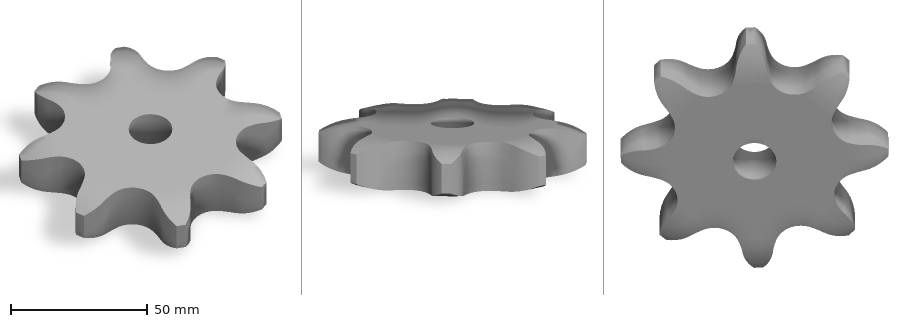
import cadquery as cq
import math

teeth = 8
pitch = 31.7
roller = 19.0
size = 91.9
thickness = 18.5
bore_diameter = 16.0
face_radius = 34.3
rounding_radius = pitch
rim_margin = 0.9

tooth_angle = 360 / teeth
pitch_radius = pitch / 2 / math.sin(math.pi / teeth)

seating_radius = 0.5025 * roller
working_offset = 0.8 * roller
working_radius = seating_radius + working_offset
seating_angle = math.radians(35 + 60 / teeth)
working_angle = math.radians(18 - 56 / teeth)
topping_angle = math.radians(17 - 64 / teeth)
flat_length = roller * (1.4 * math.sin(topping_angle) - 0.8 * math.sin(working_angle))
topping_radius = roller * (0.8 * math.cos(working_angle) + 1.4 * math.cos(topping_angle) - 1.3025)


def along(start, distance, angle):
    """Point at a distance from start, in the direction of angle (radians from +X)."""
    return (start[0] + distance * math.cos(angle), start[1] + distance * math.sin(angle))


def turn(point, degrees):
    """Point turned about the sprocket axis."""
    angle = math.atan2(point[1], point[0]) + math.radians(degrees)
    return along((0, 0), math.hypot(*point), angle)


def mirror(point):
    return (point[0], -point[1])


seat_centre = (pitch_radius, 0)
seat_direction = math.pi / 2 + seating_angle
flat_direction = seat_direction - working_angle
gap_bottom = (pitch_radius - seating_radius, 0)
seat_end = along(seat_centre, seating_radius, seat_direction)
working_centre = along(seat_centre, -working_offset, seat_direction)
working_middle = along(working_centre, working_radius, seat_direction - working_angle / 2)
working_end = along(working_centre, working_radius, flat_direction)
flat_end = along(working_end, flat_length, flat_direction - math.pi / 2)
topping_centre = along(flat_end, topping_radius, flat_direction)
corner_reach = size / 2 - topping_centre[0]
corner = (size / 2, topping_centre[1] - math.sqrt(topping_radius**2 - corner_reach**2))
corner_direction = math.atan2(corner[1] - topping_centre[1], corner_reach) % (2 * math.pi)
topping_start = flat_direction + math.pi
topping_middle = along(topping_centre, topping_radius, (topping_start + corner_direction) / 2)


def tooth_outline():
    """Closed outline of all gaps and teeth, going counter-clockwise."""
    outline = cq.Workplane("XY", origin=(0, 0, -thickness / 2)).moveTo(*mirror(corner))
    for gap in range(teeth):
        angle = gap * tooth_angle
        outline = (
            outline.threePointArc(turn(mirror(topping_middle), angle), turn(mirror(flat_end), angle))
            .lineTo(*turn(mirror(working_end), angle))
            .threePointArc(turn(mirror(working_middle), angle), turn(mirror(seat_end), angle))
            .threePointArc(turn(gap_bottom, angle), turn(seat_end, angle))
            .threePointArc(turn(working_middle, angle), turn(working_end, angle))
            .lineTo(*turn(flat_end, angle))
            .threePointArc(turn(topping_middle, angle), turn(corner, angle))
        )
        if gap < teeth - 1:
            outline = outline.lineTo(*turn(mirror(corner), angle + tooth_angle))
    return outline.close()


def rounded_blank():
    """Disc with flat faces that curve down tangentially toward the tooth tips."""
    half = thickness / 2
    rim_radius = math.hypot(*corner) + rim_margin
    arc_centre = (face_radius, half - rounding_radius)
    rim_angle = math.acos((rim_radius - face_radius) / rounding_radius)
    arc_middle = along(arc_centre, rounding_radius, (math.pi / 2 + rim_angle) / 2)
    arc_end = along(arc_centre, rounding_radius, rim_angle)
    return (
        cq.Workplane("XZ")
        .moveTo(0, -half)
        .lineTo(face_radius, -half)
        .threePointArc(mirror(arc_middle), mirror(arc_end))
        .lineTo(*arc_end)
        .threePointArc(arc_middle, (face_radius, half))
        .lineTo(0, half)
        .close()
        .revolve(360, (0, 0, 0), (0, 1, 0))
    )


toothed_plate = tooth_outline().extrude(thickness)
sprocket = toothed_plate.intersect(rounded_blank())
result = sprocket.faces(">Z").workplane(origin=(0, 0, 0)).hole(bore_diameter)